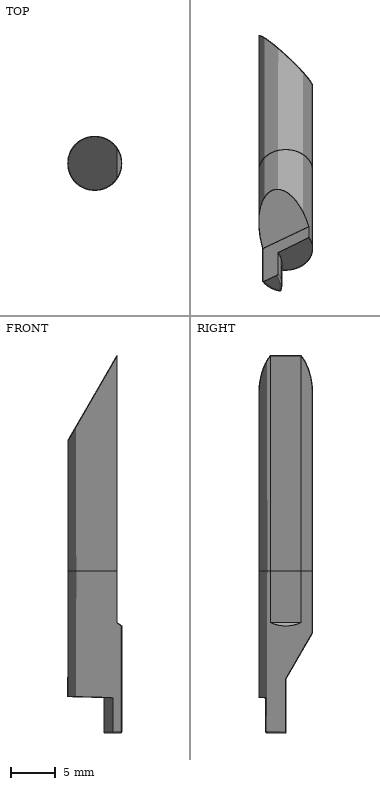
import cadquery as cq
import math

bar_diameter = 6.0
bar_radius = bar_diameter / 2
overall_length = 42.0
joint_z = 18.0
flat_x = 2.48
flat_bottom_z = 12.3
flat_ramp_drop = 0.38
slope = math.tan(math.radians(60))

relief_start_z = 6.0
shoulder_z = 4.0
shoulder_tilt = 1.5
tip_inner_x = 1.0
tip_inner_radius = bar_radius
tip_fillet = 0.2

cut_size = 2 * bar_diameter


def bar(bottom_z, top_z):
    """Round bar along Z."""
    return cq.Workplane("XY").workplane(offset=bottom_z).circle(bar_radius).extrude(top_z - bottom_z)


def prism_along_y(points):
    """Straight-sided XZ outline extruded across the bar."""
    return cq.Workplane("XZ").polyline(points).close().extrude(cut_size, both=True)


def flat_cut():
    """Material removed beside the flat, with a sloping step at its lower end."""
    ramp_slope = flat_ramp_drop / (bar_radius - flat_x)
    outer_z = flat_bottom_z - ramp_slope * (cut_size - flat_x)
    return prism_along_y([
        (flat_x, flat_bottom_z),
        (cut_size, outer_z),
        (cut_size, overall_length),
        (flat_x, overall_length),
    ])


def end_slope_cut():
    """Material removed above the 60 degree slanted end of the shank."""
    return prism_along_y([
        (flat_x, overall_length),
        (-cut_size, overall_length - slope * (flat_x + cut_size)),
        (-cut_size, overall_length),
    ])


def half_cut():
    """Removes the +Y half of the cutter below a 60 degree run-out slope."""
    return (
        cq.Workplane("YZ")
        .polyline([
            (0, -cut_size),
            (0, relief_start_z),
            (cut_size, relief_start_z + slope * cut_size),
            (cut_size, -cut_size),
        ])
        .close()
        .extrude(cut_size, both=True)
    )


def shoulder_cut():
    """Space below the slightly tilted shoulder."""
    rise = cut_size * math.tan(math.radians(shoulder_tilt))
    return prism_along_y([
        (-cut_size, shoulder_z + rise),
        (cut_size, shoulder_z - rise),
        (cut_size, -cut_size),
        (-cut_size, -cut_size),
    ])


def tip_cylinder():
    """Cylinder whose -X side forms the inner arc of the lens-shaped tip."""
    return (
        cq.Workplane("XY")
        .center(tip_inner_x + tip_inner_radius, 0)
        .circle(tip_inner_radius)
        .extrude(joint_z)
    )


def make_shank():
    return bar(joint_z, overall_length).cut(end_slope_cut()).cut(flat_cut())


def make_cutter():
    below_shoulder = shoulder_cut().cut(tip_cylinder())
    body = bar(0, joint_z).cut(below_shoulder)
    rounded = body.faces("<Z").edges().fillet(tip_fillet)
    return rounded.cut(flat_cut()).cut(half_cut())


shank = make_shank()
cutter = make_cutter()

result = cq.Compound.makeCompound([shank.val(), cutter.val()])